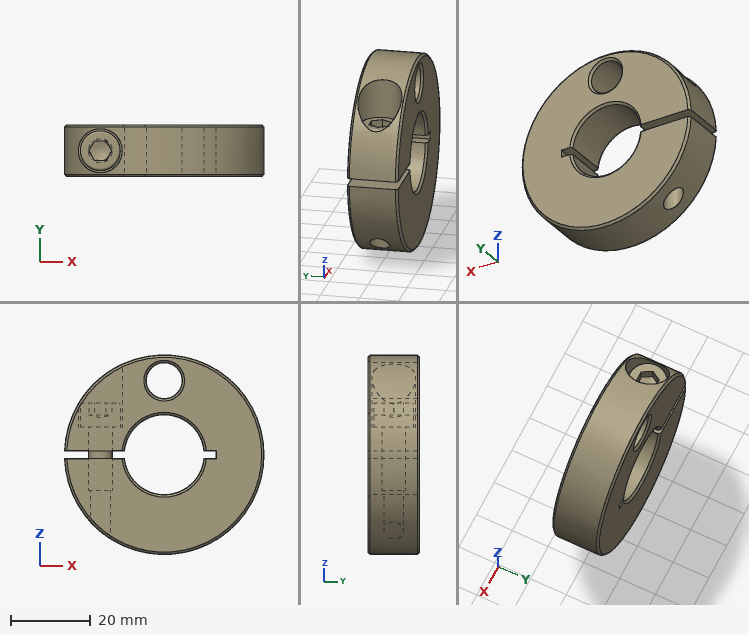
import cadquery as cq
import math

outer_diameter = 50.0
width = 13.0
bore_diameter = 20.0
edge_chamfer = 0.6

slot_height = 2.0
notch_end_x = 13.0

side_hole_diameter = 9.0
side_hole_z = 18.55

screw_x = -16.0
shank_diameter = 6.0
shank_length = 16.0
head_diameter = 10.0
head_height = 6.0
head_fillet = 0.6
head_top_z = 13.0
socket_flats = 5.0
socket_depth = 3.0
socket_tip_height = 0.75

counterbore_diameter = 11.0
tap_diameter = 5.0

seat_z = head_top_z - head_height
shank_end_z = seat_z - shank_length
outer_radius = outer_diameter / 2


def cylinder_along_y(diameter, z=0.0):
    """Cylinder as long as the collar is wide, centred on Y = 0."""
    return (
        cq.Workplane("XZ", origin=(0, width / 2, z))
        .circle(diameter / 2)
        .extrude(width)
    )


def chamfered_hole(diameter, z=0.0):
    """Cutting tool for a hole along Y with a chamfer at both mouths."""
    tool = cylinder_along_y(diameter, z)
    mouth_radius = diameter / 2 + edge_chamfer
    for side in (-1, 1):
        mouth = cq.Solid.makeCone(
            mouth_radius,
            diameter / 2,
            edge_chamfer,
            cq.Vector(0, side * width / 2, z),
            cq.Vector(0, -side, 0),
        )
        tool = tool.union(cq.Workplane(obj=mouth))
    return tool


def cylinder_at_screw(diameter, bottom_z, top_z):
    """Upright cylinder on the screw axis."""
    return (
        cq.Workplane("XY", origin=(screw_x, 0, bottom_z))
        .circle(diameter / 2)
        .extrude(top_z - bottom_z)
    )


def screw_passage():
    """Counterbore, shank hole and the narrower hole that leaves at the bottom."""
    counterbore = cylinder_at_screw(counterbore_diameter, seat_z, outer_radius)
    shank_hole = cylinder_at_screw(shank_diameter, shank_end_z, seat_z)
    tap_hole = cylinder_at_screw(tap_diameter, -outer_radius, shank_end_z)
    return counterbore.union(shank_hole).union(tap_hole)


def clamp_slot():
    """Slot from the left rim through the bore to the end of the notch."""
    length = outer_radius + notch_end_x
    return cq.Workplane("XY").box(length, width, slot_height).translate(
        (notch_end_x - length / 2, 0, 0)
    )


def make_collar():
    blank = cylinder_along_y(outer_diameter).faces("<Y or >Y").chamfer(edge_chamfer)
    return (
        blank.cut(chamfered_hole(bore_diameter))
        .cut(chamfered_hole(side_hole_diameter, side_hole_z))
        .cut(clamp_slot())
        .cut(screw_passage())
    )


def hex_socket():
    """Hexagonal recess whose conical bottom starts at the hexagon's corners."""
    socket_corners = socket_flats / math.cos(math.pi / 6)
    floor_z = head_top_z - socket_depth
    tip_z = floor_z - socket_tip_height
    hexagon = (
        cq.Workplane("XY", origin=(screw_x, 0, tip_z))
        .polygon(6, socket_corners)
        .extrude(head_top_z - tip_z)
    )
    pointed_cylinder = (
        cq.Workplane("XZ", origin=(screw_x, 0, 0))
        .moveTo(0, tip_z)
        .lineTo(socket_corners / 2, floor_z)
        .lineTo(socket_corners / 2, head_top_z)
        .lineTo(0, head_top_z)
        .close()
        .revolve(360, (0, 0, 0), (0, 1, 0))
    )
    return hexagon.intersect(pointed_cylinder)


def make_screw():
    head = cylinder_at_screw(head_diameter, seat_z, head_top_z)
    head = head.faces(">Z").edges().fillet(head_fillet)
    shank = cylinder_at_screw(shank_diameter, shank_end_z, seat_z)
    return head.union(shank).cut(hex_socket())


collar = make_collar()
screw = make_screw()

result = cq.Compound.makeCompound([collar.solids().val(), screw.solids().val()])